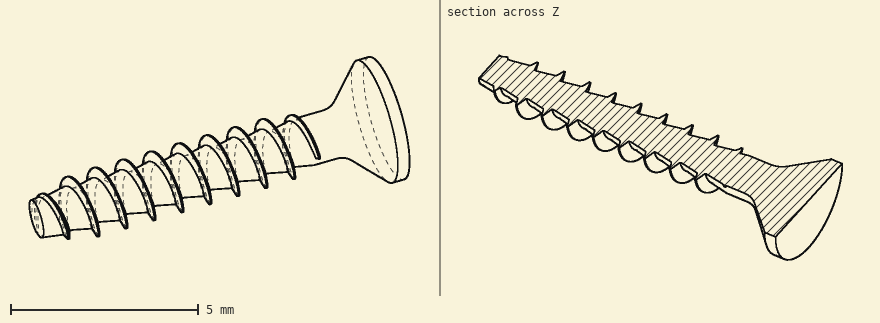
import cadquery as cq
import math

LENGTH = 10.0

HEAD_RADIUS = 1.7
RIM_HEIGHT = 0.34
SHANK_RADIUS = 0.67
SHANK_END = 2.26
SHANK_TAPER_LENGTH = 0.7
NECK_FILLET = 0.6

CORE_RADIUS = 0.54
TIP_RADIUS = 0.51
TIP_TAPER_LENGTH = 0.5
BURIED_RADIUS = 0.48
CREST_RADIUS = 0.9
PITCH = 0.8
CREST_WIDTH = 0.04
RIDGE_HALF_WIDTH = 0.11
RAMP_TOP_RADIUS = 0.65
RAMP_END_RADIUS = 0.53
RAMP_END = 0.68
THREAD_START = 2.19
LEAD_IN_CREST = 0.72
LEAD_IN_TURNS = 1.0
FULL_TURNS = 7.25
RUN_OUT_TURNS = 1.5
RUN_OUT_CREST = 0.53
RUN_OUT_RAMP_END = 0.49
RUN_OUT_RAMP = 0.52


def make_body():
    """Head, filleted neck, shank and plain core, turned about the screw axis."""
    half_turn = math.radians(45 / 2)
    cone_end = RIM_HEIGHT + HEAD_RADIUS - SHANK_RADIUS
    tangent_length = NECK_FILLET * math.tan(half_turn)
    diagonal = tangent_length * math.sqrt(0.5)
    arc_centre_radius = SHANK_RADIUS + NECK_FILLET
    arc_end = cone_end + tangent_length
    arc_mid = (
        arc_centre_radius - NECK_FILLET * math.cos(half_turn),
        arc_end - NECK_FILLET * math.sin(half_turn),
    )
    return (
        cq.Workplane("XZ")
        .lineTo(HEAD_RADIUS, 0)
        .lineTo(HEAD_RADIUS, RIM_HEIGHT)
        .lineTo(SHANK_RADIUS + diagonal, cone_end - diagonal)
        .threePointArc(arc_mid, (SHANK_RADIUS, arc_end))
        .lineTo(SHANK_RADIUS, SHANK_END)
        .lineTo(CORE_RADIUS, SHANK_END + SHANK_TAPER_LENGTH)
        .lineTo(CORE_RADIUS, LENGTH - TIP_TAPER_LENGTH)
        .lineTo(TIP_RADIUS, LENGTH)
        .lineTo(0, LENGTH)
        .close()
        .revolve(360, (0, 0), (0, 1))
    )


def thread_section(crest_radius, ramp_radius, ramp_end_radius=RAMP_END_RADIUS):
    """(radius, axial offset) corners of the ridge and the ramp behind it."""
    return [
        (BURIED_RADIUS, -RIDGE_HALF_WIDTH),
        (crest_radius, -CREST_WIDTH / 2),
        (crest_radius, CREST_WIDTH / 2),
        (ramp_radius, RIDGE_HALF_WIDTH),
        (ramp_end_radius, RAMP_END),
        (BURIED_RADIUS, RAMP_END),
    ]


def corner_helix(start_radius, end_radius, offset, turns):
    """Right-handed helix from the +X side, conical where its radius changes."""
    rise = turns * PITCH
    if start_radius == end_radius:
        helix = cq.Wire.makeHelix(PITCH, rise, start_radius)
        return helix.translate(cq.Vector(0, 0, offset))
    taper = math.atan2(end_radius - start_radius, rise)
    slant = 1 / math.cos(taper)
    helix = cq.Wire.makeHelix(PITCH * slant, rise * slant, start_radius, angle=math.degrees(taper))
    return helix.translate(cq.Vector(0, 0, offset))


def helical_faces(start_section, end_section, first_turn, turns):
    """Ruled faces joining the helices of neighbouring section corners."""
    helices = [
        corner_helix(start[0], end[0], start[1], turns).Edges()[0]
        for start, end in zip(start_section, end_section)
    ]
    height = THREAD_START + first_turn * PITCH
    faces = []
    for edge, neighbour in zip(helices, helices[1:] + helices[:1]):
        face = cq.Face.makeRuledSurface(edge, neighbour)
        face = face.rotate(cq.Vector(0, 0, 0), cq.Vector(0, 0, 1), 360 * first_turn)
        faces.append(face.translate(cq.Vector(0, 0, height)))
    return faces


def section_face(section, turn):
    """Flat cap closing the thread at the given number of turns."""
    angle = 2 * math.pi * turn
    height = THREAD_START + turn * PITCH
    points = [
        cq.Vector(radius * math.cos(angle), radius * math.sin(angle), height + offset)
        for radius, offset in section
    ]
    return cq.Face.makeFromWires(cq.Wire.makePolygon(points, close=True))


def make_thread():
    """Thread that grows out of the shank, runs at full height and fades at the tip."""
    lead_in = thread_section(LEAD_IN_CREST, RAMP_TOP_RADIUS)
    full = thread_section(CREST_RADIUS, RAMP_TOP_RADIUS)
    run_out = thread_section(RUN_OUT_CREST, RUN_OUT_RAMP, RUN_OUT_RAMP_END)
    stages = [
        (lead_in, full, LEAD_IN_TURNS),
        (full, full, FULL_TURNS),
        (full, run_out, RUN_OUT_TURNS),
    ]
    faces = [section_face(lead_in, 0)]
    turn = 0
    for start_section, end_section, turns in stages:
        faces += helical_faces(start_section, end_section, turn, turns)
        turn += turns
    faces.append(section_face(run_out, turn))
    thread = cq.Solid.makeSolid(cq.Shell.makeShell(faces))
    return cq.Workplane(thread.fix())


def make_screw():
    """Body and thread together, with the thread trimmed flush with the tip."""
    envelope = cq.Workplane().circle(HEAD_RADIUS).extrude(LENGTH)
    thread = make_thread().intersect(envelope)
    return make_body().union(thread)


result = make_screw().rotate((0, 0, 0), (1, 0, 0), 90)